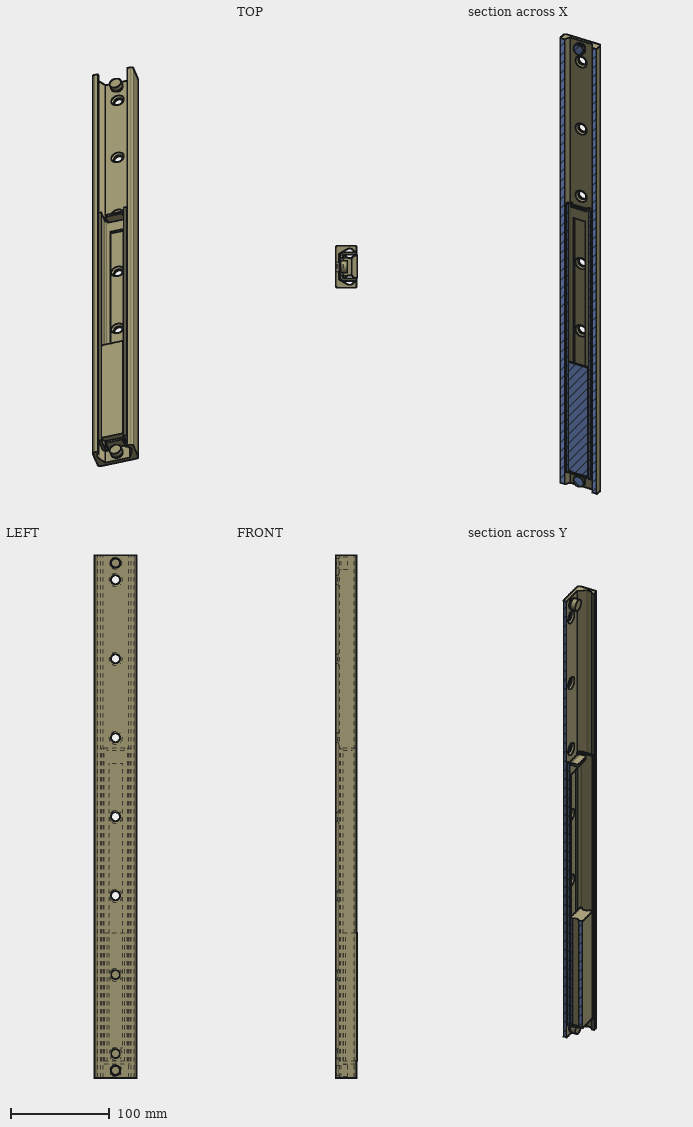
import cadquery as cq
import math

RAIL_LENGTH = 530.0
OVERALL_DEPTH = 22.0
SLIDER_PROUD = 0.8
RAIL_DEPTH = OVERALL_DEPTH - SLIDER_PROUD
RAIL_WIDTH = 43.0
BACK_THICKNESS = 3.5
BACK_CORNER_RADIUS = 2.5
FRONT_CORNER_RADIUS = 2.0
LIP_GAP = 31.5

RACE_X = 14.5
RACE_SPACING = 27.0
RACE_RADIUS = 5.0
RAMP_ANGLE = 30.0

HOLE_DIAMETER = 9.0
COUNTERSINK_DEPTH = 2.0
HOLE_COUNT = 7
HOLE_PITCH = 80.0

PIN_SHANK_DIAMETER = 10.0
PIN_HEAD_DIAMETER = 12.0
PIN_END_OFFSET = 8.0
PIN_HEAD_X = 5.5
PIN_TIP_X = 11.5
PIN_CHAMFER = 0.5

SHEET = 2.5
CAGE_BOTTOM = 15.0
CAGE_LENGTH = 320.0
CAGE_BACK_X = 5.0
CAGE_WIDTH = 29.0
CAGE_CORNER_RADIUS = 3.5
BEND_RADIUS = 3.5
TAB_WIDTH = 18.0
TAB_TIP_X = 16.5
TAB_CORNER_RADIUS = 2.0
WINDOW_WIDTH = 14.0
WINDOW_MARGIN = 16.0

SLIDER_LENGTH = 130.0
SLIDER_CLEARANCE = 0.5

CAGE_INNER_X = CAGE_BACK_X + SHEET
CAGE_INNER_WIDTH = CAGE_WIDTH - 2 * SHEET
CAGE_TOP = CAGE_BOTTOM + CAGE_LENGTH


def box(x_min, x_max, width, z_min, height):
    """A block centred on Y that spans the given X and Z ranges."""
    block = cq.Workplane("XY").box(x_max - x_min, width, height, centered=(False, True, False))
    return block.translate((x_min, 0, z_min))


def cylinder_x(diameter, x_min, x_max, z):
    """A round bar along X at height z."""
    sketch = cq.Workplane("YZ").workplane(offset=x_min).center(0, z)
    return sketch.circle(diameter / 2).extrude(x_max - x_min)


def raceways(z_min, height):
    """The two round ball tracks along Z."""
    sketch = cq.Workplane("XY").workplane(offset=z_min)
    centres = [(RACE_X, RACE_SPACING / 2), (RACE_X, -RACE_SPACING / 2)]
    return sketch.pushPoints(centres).circle(RACE_RADIUS).extrude(height)


def rail_cavity():
    """The channel inside the rail, with ramps that run from its back up to the raceways."""
    ramp = math.radians(RAMP_ANGLE)
    tangent_x = RACE_X - RACE_RADIUS * math.sin(ramp)
    tangent_y = RACE_SPACING / 2 + RACE_RADIUS * math.cos(ramp)
    back_y = tangent_y - (tangent_x - BACK_THICKNESS) * math.tan(ramp)
    upper = [
        (BACK_THICKNESS, back_y),
        (tangent_x, tangent_y),
        (RACE_X, LIP_GAP / 2),
        (RAIL_DEPTH, LIP_GAP / 2),
    ]
    lower = [(x, -y) for x, y in reversed(upper)]
    channel = cq.Workplane("XY").polyline(upper + lower).close().extrude(RAIL_LENGTH)
    return channel.union(raceways(0, RAIL_LENGTH))


def mounting_hole_cutter(z):
    """A round hole that widens toward the channel."""
    hole = cylinder_x(HOLE_DIAMETER, 0, BACK_THICKNESS, z)
    wide_diameter = HOLE_DIAMETER + 2 * COUNTERSINK_DEPTH
    land_x = BACK_THICKNESS - COUNTERSINK_DEPTH
    cone = cq.Solid.makeCone(
        HOLE_DIAMETER / 2,
        wide_diameter / 2,
        COUNTERSINK_DEPTH,
        pnt=cq.Vector(land_x, 0, z),
        dir=cq.Vector(1, 0, 0),
    )
    return hole.union(cone)


def make_rail(pin_heights):
    rail = box(0, RAIL_DEPTH, RAIL_WIDTH, 0, RAIL_LENGTH)
    rail = rail.edges("|Z and <X").fillet(BACK_CORNER_RADIUS)
    rail = rail.edges("|Z and >X").fillet(FRONT_CORNER_RADIUS)
    rail = rail.cut(rail_cavity())
    first_hole = (RAIL_LENGTH - (HOLE_COUNT - 1) * HOLE_PITCH) / 2
    for i in range(HOLE_COUNT):
        rail = rail.cut(mounting_hole_cutter(first_hole + i * HOLE_PITCH))
    for z in pin_heights:
        rail = rail.cut(cylinder_x(PIN_SHANK_DIAMETER, 0, BACK_THICKNESS, z))
    return rail


def make_stop_pin(z):
    """A shank in the back of the rail with a wider head inside the channel."""
    shank = cylinder_x(PIN_SHANK_DIAMETER, 0, PIN_HEAD_X, z).faces("<X").chamfer(PIN_CHAMFER)
    head = cylinder_x(PIN_HEAD_DIAMETER, PIN_HEAD_X, PIN_TIP_X, z)
    return shank.union(head)


def cage_tab(z_min):
    """A tab across one end of the cage, rounded at its free corners."""
    tab = box(CAGE_BACK_X, TAB_TIP_X, TAB_WIDTH, z_min, SHEET)
    return tab.edges("|Z and >X").fillet(TAB_CORNER_RADIUS)


def bend_waste(z_edge, z_centre):
    """The material outside the round bend between the cage back and a tab."""
    x_centre = CAGE_BACK_X + BEND_RADIUS
    z_low = min(z_edge, z_centre)
    corner = box(CAGE_BACK_X, x_centre, TAB_WIDTH, z_low, BEND_RADIUS)
    round_bar = (
        cq.Workplane("XZ", origin=(x_centre, 0, z_centre))
        .circle(BEND_RADIUS)
        .extrude(TAB_WIDTH / 2, both=True)
    )
    return corner.cut(round_bar)


def make_cage():
    cage = box(CAGE_BACK_X, RAIL_DEPTH, CAGE_WIDTH, CAGE_BOTTOM, CAGE_LENGTH)
    cage = cage.edges("|Z and <X").fillet(CAGE_CORNER_RADIUS)
    inside = box(CAGE_INNER_X, RAIL_DEPTH, CAGE_INNER_WIDTH, CAGE_BOTTOM, CAGE_LENGTH)
    cage = cage.cut(inside.edges("|Z and <X").fillet(CAGE_CORNER_RADIUS - SHEET))
    window_height = CAGE_LENGTH - 2 * WINDOW_MARGIN
    window_bottom = CAGE_BOTTOM + WINDOW_MARGIN
    cage = cage.cut(box(CAGE_BACK_X, CAGE_INNER_X, WINDOW_WIDTH, window_bottom, window_height))
    cage = cage.union(cage_tab(CAGE_BOTTOM)).union(cage_tab(CAGE_TOP - SHEET))
    cage = cage.cut(bend_waste(CAGE_BOTTOM, CAGE_BOTTOM + BEND_RADIUS))
    return cage.cut(bend_waste(CAGE_TOP, CAGE_TOP - BEND_RADIUS))


def make_slider():
    bottom = CAGE_BOTTOM + SHEET
    back_x = CAGE_INNER_X + SLIDER_CLEARANCE
    width = CAGE_INNER_WIDTH - 2 * SLIDER_CLEARANCE
    slider = box(back_x, OVERALL_DEPTH, width, bottom, SLIDER_LENGTH)
    return slider.cut(raceways(bottom, SLIDER_LENGTH))


pin_heights = [PIN_END_OFFSET, RAIL_LENGTH - PIN_END_OFFSET]
rail = make_rail(pin_heights)
stop_pins = [make_stop_pin(z) for z in pin_heights]
cage = make_cage()
slider = make_slider()

result = cq.Compound.makeCompound(
    [rail.val(), *[pin.val() for pin in stop_pins], cage.val(), slider.val()]
)